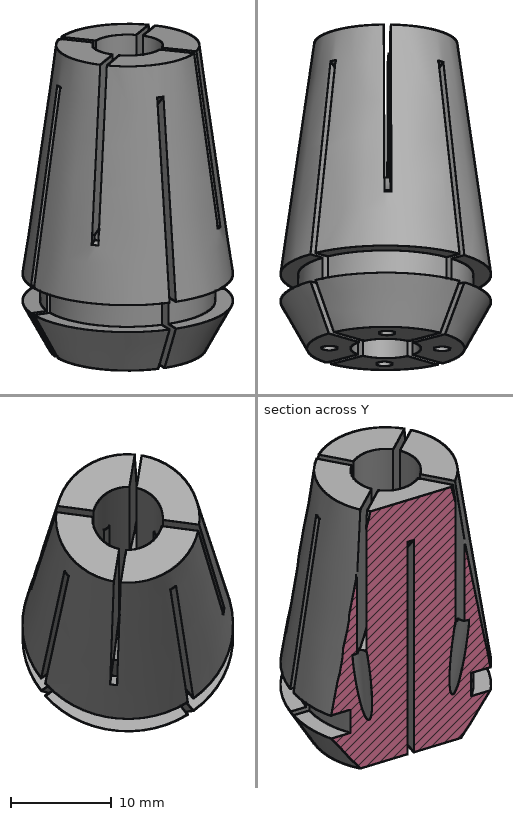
import cadquery as cq
import math

length = 31.5
max_radius = 10.5
bore_radius = 3.5
taper_half_angle = 8.0
nose_half_angle = 28.6
groove_radius = 8.73
groove_bottom = 4.85
groove_top = 7.65

slot_width = 0.7
slot_count = 4
blade_radius = 15.75
lower_slot_rim = 28.22
lower_slot_bore = 23.55
upper_slot_rim = 13.48
upper_slot_bore = 16.7
overrun = 0.3

coolant_diameter = 1.6
coolant_tilt = 10.0
coolant_radius = 8.13
coolant_top = 14.35


def taper_radius(z):
    """Outer radius of the long taper at height z."""
    return max_radius - (z - groove_top) * math.tan(math.radians(taper_half_angle))


def body():
    nose_radius = max_radius - groove_bottom * math.tan(math.radians(nose_half_angle))
    profile = [
        (bore_radius, 0),
        (nose_radius, 0),
        (max_radius, groove_bottom),
        (groove_radius, groove_bottom),
        (groove_radius, groove_top),
        (max_radius, groove_top),
        (taper_radius(length), length),
        (bore_radius, length),
    ]
    return cq.Workplane("XZ").polyline(profile).close().revolve(360, (0, 0, 0), (0, 1, 0))


def slot(rim_height, bore_height, open_height):
    """Radial slot along +X: an arc-shaped blind end, open beyond open_height."""
    rim = (taper_radius(rim_height), rim_height)
    inner = (bore_radius, bore_height)
    outside = max_radius + overrun
    half_chord = math.dist(rim, inner) / 2
    sagitta = blade_radius - math.sqrt(blade_radius**2 - half_chord**2)
    bow = sagitta if rim_height > open_height else -sagitta
    slope_x = (rim[0] - inner[0]) / (2 * half_chord)
    slope_z = abs(rim[1] - inner[1]) / (2 * half_chord)
    middle = (
        (rim[0] + inner[0]) / 2 - abs(bow) * slope_z,
        (rim[1] + inner[1]) / 2 + bow * slope_x,
    )
    return (
        cq.Workplane("XZ")
        .moveTo(0, open_height)
        .lineTo(outside, open_height)
        .lineTo(outside, rim_height)
        .lineTo(*rim)
        .threePointArc(middle, inner)
        .lineTo(0, bore_height)
        .close()
        .extrude(slot_width / 2, both=True)
    )


def coolant_hole():
    """Inclined hole that approaches the collet axis toward the bottom face."""
    tilt = math.radians(coolant_tilt)
    downward = cq.Vector(-math.sin(tilt), 0, -math.cos(tilt))
    depth = (coolant_top + overrun) / math.cos(tilt)
    start = cq.Vector(coolant_radius, 0, coolant_top)
    return cq.Workplane(cq.Solid.makeCylinder(coolant_diameter / 2, depth, start, downward))


result = body()
lower_slot = slot(lower_slot_rim, lower_slot_bore, -overrun)
upper_slot = slot(upper_slot_rim, upper_slot_bore, length + overrun)
pitch = 360 / slot_count

for index in range(slot_count):
    lower_angle = index * pitch
    upper_angle = lower_angle + pitch / 2
    result = result.cut(lower_slot.rotate((0, 0, 0), (0, 0, 1), lower_angle))
    for cutter in (upper_slot, coolant_hole()):
        result = result.cut(cutter.rotate((0, 0, 0), (0, 0, 1), upper_angle))